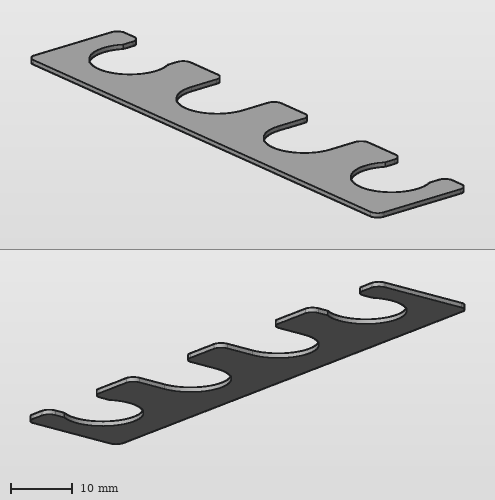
import cadquery as cq

length = 88.9
width = 19.0
thickness = 0.81
corner_radius = 1.5

pitch = 22.2
pocket_radius = 6.6
pocket_floor = 5.7
pocket_y = pocket_floor + pocket_radius - width / 2
snap_mouth = 11.4
straight_mouth = 2 * pocket_radius


def pocket(x, mouth):
    """Round pocket with a parallel-sided mouth open to the back edge."""
    mouth_length = width / 2 - pocket_y
    bore = cq.Workplane("XY").center(x, pocket_y).circle(pocket_radius).extrude(thickness)
    opening = (
        cq.Workplane("XY")
        .center(x, pocket_y + mouth_length / 2)
        .rect(mouth, mouth_length)
        .extrude(thickness)
    )
    return bore.union(opening)


plate = cq.Workplane("XY").box(length, width, thickness, centered=(True, True, False))
for side in (-1, 1):
    plate = plate.cut(pocket(side * pitch / 2, straight_mouth))
    plate = plate.cut(pocket(side * 3 * pitch / 2, snap_mouth))

plate = plate.edges("|Z and >Y").fillet(corner_radius)
result = plate.edges("|Z and <Y").fillet(corner_radius)